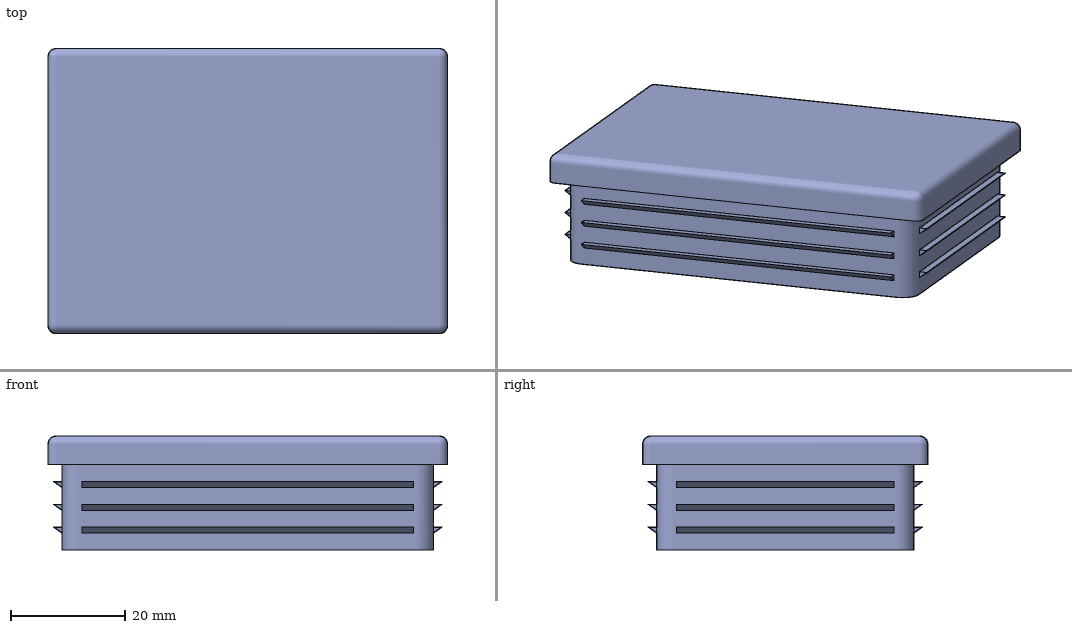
import cadquery as cq

cap_length = 70.0
cap_width = 50.0
cap_thickness = 5.05
cap_radius = 1.5

total_height = 20.0
body_inset = 2.45
body_corner_radius = 3.0
body_length = cap_length - 2 * body_inset
body_width = cap_width - 2 * body_inset
body_height = total_height - cap_thickness

fin_reach = 1.5
fin_height = 1.05
fin_spacing = 4.0
lowest_fin_top = 4.05
fin_count = 3
fin_end_gap = 0.5
fin_root_overlap = 0.35


def make_cap():
    cap = cq.Workplane("XY").workplane(offset=body_height).rect(cap_length, cap_width).extrude(cap_thickness)
    return cap.edges("|Z or >Z").fillet(cap_radius)


def make_body():
    body = cq.Workplane("XY").rect(body_length, body_width).extrude(body_height)
    return body.edges("|Z").fillet(body_corner_radius)


def make_fin(wall_distance, side_length, top_z):
    """Fin on the +X wall, centred along Y, with its root sunk into the body."""
    fin_length = side_length - 2 * (body_corner_radius + fin_end_gap)
    root_x = wall_distance - fin_root_overlap
    profile = [
        (root_x, top_z),
        (wall_distance + fin_reach, top_z),
        (wall_distance, top_z - fin_height),
        (root_x, top_z - fin_height),
    ]
    return cq.Workplane("XZ").polyline(profile).close().extrude(fin_length / 2, both=True)


result = make_cap().union(make_body())

walls = [
    (0, body_length / 2, body_width),
    (90, body_width / 2, body_length),
    (180, body_length / 2, body_width),
    (270, body_width / 2, body_length),
]
for angle, wall_distance, side_length in walls:
    for row in range(fin_count):
        fin = make_fin(wall_distance, side_length, lowest_fin_top + row * fin_spacing)
        result = result.union(fin.rotate((0, 0, 0), (0, 0, 1), angle))